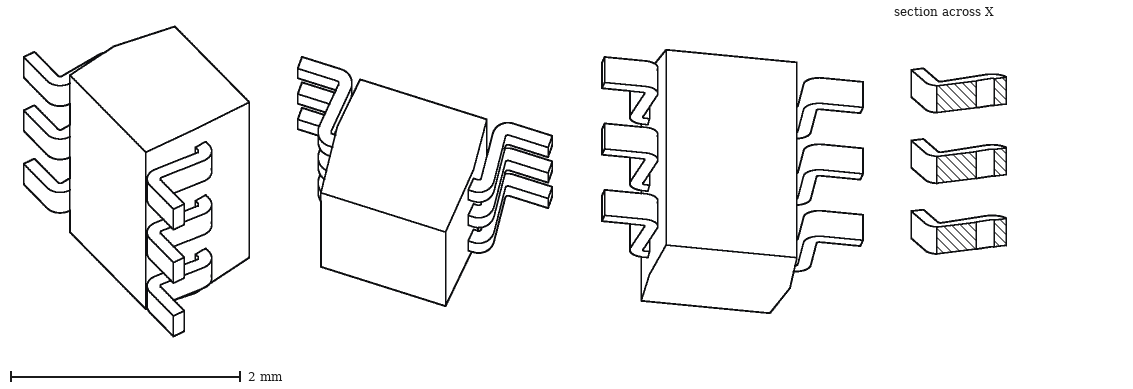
import cadquery as cq
import math


HOUSING_WIDTH = 1.251
HOUSING_LENGTH = 2.0
PACKAGE_HEIGHT = 1.2
STANDOFF = 0.1
PARTING_HEIGHT = 0.593
DRAFT_ANGLE = 5.0

LEAD_SPAN = 2.3
LEAD_THICKNESS = 0.115
LEAD_WIDTH = 0.25
LEAD_PITCH = 0.65
LEADS_PER_SIDE = 3
LEAD_TOP = PARTING_HEIGHT + LEAD_THICKNESS
FOOT_FLAT_LENGTH = 0.36
LEG_TILT = 5.0
INNER_BEND_RADIUS = 0.023
OUTER_BEND_RADIUS = INNER_BEND_RADIUS + LEAD_THICKNESS


def housing_half(end_height):
    """Drafted half of the housing, from the parting plane to end_height."""
    height = end_height - PARTING_HEIGHT
    plane = cq.Plane(
        origin=(0, PARTING_HEIGHT, 0),
        xDir=(1, 0, 0),
        normal=(0, math.copysign(1, height), 0),
    )
    return (
        cq.Workplane(plane)
        .rect(HOUSING_WIDTH, HOUSING_LENGTH)
        .extrude(abs(height), taper=DRAFT_ANGLE)
    )


def make_housing():
    """Housing with drafted upper and lower halves joined at the parting plane."""
    return housing_half(PACKAGE_HEIGHT).union(housing_half(STANDOFF))


def bend_point(center, radius, angle):
    """Point at the given angle, in degrees, on an arc about a bend center."""
    turn = math.radians(angle)
    return (center[0] + radius * math.cos(turn), center[1] + radius * math.sin(turn))


def make_left_lead(housing):
    """Gull-wing lead on the -X side at mid-length, ending flush on the housing side."""
    toe_x = -LEAD_SPAN / 2
    lower_center = (toe_x + FOOT_FLAT_LENGTH, OUTER_BEND_RADIUS)

    tilt = math.radians(LEG_TILT)
    center_rise = LEAD_TOP - 2 * OUTER_BEND_RADIUS
    center_shift = (
        INNER_BEND_RADIUS + OUTER_BEND_RADIUS - center_rise * math.sin(tilt)
    ) / math.cos(tilt)
    upper_center = (lower_center[0] + center_shift, LEAD_TOP - OUTER_BEND_RADIUS)

    lower_start, lower_end = -90, LEG_TILT
    lower_middle = (lower_start + lower_end) / 2
    upper_start, upper_end = 180 + LEG_TILT, 90
    upper_middle = (upper_start + upper_end) / 2

    profile = (
        cq.Workplane("XY")
        .workplane(offset=-LEAD_WIDTH / 2)
        .moveTo(toe_x, 0)
        .lineTo(*bend_point(lower_center, OUTER_BEND_RADIUS, lower_start))
        .threePointArc(
            bend_point(lower_center, OUTER_BEND_RADIUS, lower_middle),
            bend_point(lower_center, OUTER_BEND_RADIUS, lower_end),
        )
        .lineTo(*bend_point(upper_center, INNER_BEND_RADIUS, upper_start))
        .threePointArc(
            bend_point(upper_center, INNER_BEND_RADIUS, upper_middle),
            bend_point(upper_center, INNER_BEND_RADIUS, upper_end),
        )
        .lineTo(0, LEAD_TOP - LEAD_THICKNESS)
        .lineTo(0, LEAD_TOP)
        .lineTo(*bend_point(upper_center, OUTER_BEND_RADIUS, upper_end))
        .threePointArc(
            bend_point(upper_center, OUTER_BEND_RADIUS, upper_middle),
            bend_point(upper_center, OUTER_BEND_RADIUS, upper_start),
        )
        .lineTo(*bend_point(lower_center, INNER_BEND_RADIUS, lower_end))
        .threePointArc(
            bend_point(lower_center, INNER_BEND_RADIUS, lower_middle),
            bend_point(lower_center, INNER_BEND_RADIUS, lower_start),
        )
        .lineTo(toe_x, LEAD_THICKNESS)
        .close()
    )
    return profile.extrude(LEAD_WIDTH).cut(housing)


def make_leads(housing):
    """Two mirrored rows of leads, centered along the housing."""
    left_lead = make_left_lead(housing)
    right_lead = left_lead.mirror("YZ")
    leads = []
    for index in range(LEADS_PER_SIDE):
        z = (index - (LEADS_PER_SIDE - 1) / 2) * LEAD_PITCH
        for lead in (left_lead, right_lead):
            leads.append(lead.translate((0, 0, z)))
    return leads


housing = make_housing()
leads = make_leads(housing)

result = cq.Compound.makeCompound(
    [housing.solids().val(), *(lead.solids().val() for lead in leads)]
)